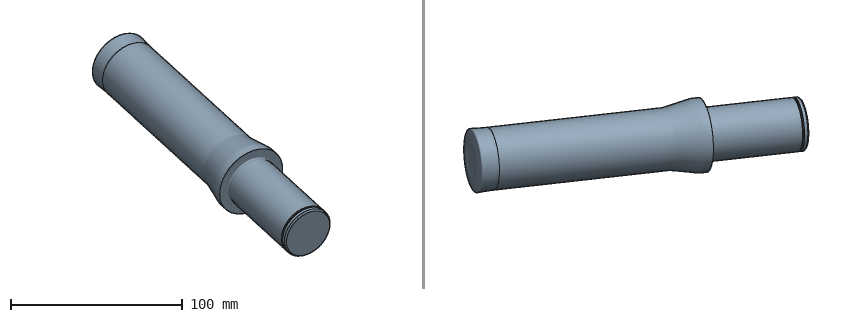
import cadquery as cq

overall_length = 200.99
head_length = 11.5
flange_back = 140.8

head_rim_diameter = 37.9
rim_setback = 0.9
rim_round = 0.8
head_land_length = 1.6
tip_ring_outer_diameter = 21.4
tip_ring_inner_diameter = 20.2
recess_floor_diameter = 16.6
recess_depth = 0.4
recess_round = 5.0

barrel_diameter = 37.0
flange_diameter = 44.0
flange_width = 4.7
taper_length = 17.4
taper_root_round = 6.0
flange_edge_round = 3.0

shank_diameter = 32.0
relief_diameter = 31.5
relief_length = 1.3
relief_slope = 0.8
relief_round = 0.6
groove_position = 197.5
groove_width = 1.2
end_chamfer = 0.9


def revolve_about_x(outline):
    """Turn a closed (x, radius) outline about the X axis."""
    return cq.Workplane("XZ").polyline(outline).close().revolve(360, (0, 0, 0), (1, 0, 0))


def round_edge_at(body, x, diameter, radius):
    """Round the circular edge that lies at station x with the given diameter."""
    tolerance = 0.01
    reach = diameter / 2 + tolerance
    edges = body.edges(cq.selectors.BoxSelector(
        (x - tolerance, -reach, -reach), (x + tolerance, reach, reach), boundingbox=True))
    edge = edges.filter(lambda e: e.geomType() == "CIRCLE" and abs(e.radius() - diameter / 2) < tolerance)
    return edge.fillet(radius)


def make_cutting_head():
    head = revolve_about_x([
        (recess_depth, 0),
        (recess_depth, recess_floor_diameter / 2),
        (0, tip_ring_inner_diameter / 2),
        (0, tip_ring_outer_diameter / 2),
        (rim_setback, head_rim_diameter / 2),
        (head_length - head_land_length, barrel_diameter / 2),
        (head_length, barrel_diameter / 2),
        (head_length, 0),
    ])
    head = round_edge_at(head, recess_depth, recess_floor_diameter, recess_round)
    return round_edge_at(head, rim_setback, head_rim_diameter, rim_round)


def make_holder():
    flange_front = flange_back - flange_width
    taper_start = flange_front - taper_length
    shank_start = flange_back + relief_length
    holder = revolve_about_x([
        (head_length, 0),
        (head_length, barrel_diameter / 2),
        (taper_start, barrel_diameter / 2),
        (flange_front, flange_diameter / 2),
        (flange_back, flange_diameter / 2),
        (flange_back, relief_diameter / 2),
        (shank_start, relief_diameter / 2),
        (shank_start + relief_slope, shank_diameter / 2),
        (groove_position - groove_width / 2, shank_diameter / 2),
        (groove_position, relief_diameter / 2),
        (groove_position + groove_width / 2, shank_diameter / 2),
        (overall_length - end_chamfer, shank_diameter / 2),
        (overall_length, shank_diameter / 2 - end_chamfer),
        (overall_length, 0),
    ])
    holder = round_edge_at(holder, taper_start, barrel_diameter, taper_root_round)
    holder = round_edge_at(holder, flange_front, flange_diameter, flange_edge_round)
    return round_edge_at(holder, flange_back, relief_diameter, relief_round)


cutting_head = make_cutting_head()
holder = make_holder()

result = cq.Compound.makeCompound([cutting_head.val(), holder.val()])